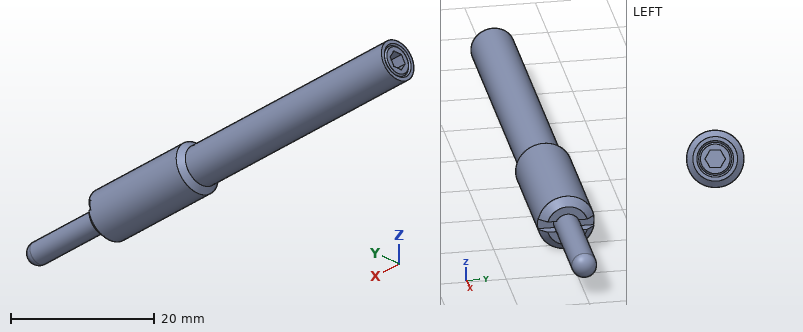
import cadquery as cq
import math

total_length = 75.0
barrel_length = 40.05
collar_length = 19.95

barrel_diameter = 6.2
collar_diameter = 8.0
pin_diameter = 3.5

front_chamfer = 1.1

socket_across_flats = 2.5
socket_depth = 6.0
groove_inner_diameter = 4.1
groove_outer_diameter = 5.1

slot_width = 1.6
slot_depth = 1.4

start_x = -total_length / 2
collar_start_x = start_x + barrel_length
collar_end_x = collar_start_x + collar_length
pin_tip_x = start_x + total_length
barrel_radius = barrel_diameter / 2
collar_radius = collar_diameter / 2
rear_chamfer = collar_radius - barrel_radius
pin_radius = pin_diameter / 2


def rod(diameter, from_x, length):
    """Solid cylinder on the X axis."""
    return cq.Workplane("YZ", origin=(from_x, 0, 0)).circle(diameter / 2).extrude(length)


def make_barrel_and_collar():
    """Turned barrel with a collar that is chamfered at both ends."""
    return (
        cq.Workplane("XY")
        .moveTo(start_x, 0)
        .lineTo(start_x, barrel_radius)
        .lineTo(collar_start_x, barrel_radius)
        .lineTo(collar_start_x + rear_chamfer, collar_radius)
        .lineTo(collar_end_x - front_chamfer, collar_radius)
        .lineTo(collar_end_x, collar_radius - front_chamfer)
        .lineTo(collar_end_x, 0)
        .close()
        .revolve(360, (0, 0, 0), (1, 0, 0))
    )


def make_slot():
    """Slot running across the collar face along Y."""
    return cq.Workplane("XY").box(2 * slot_depth, collar_diameter, slot_width).translate((collar_end_x, 0, 0))


def make_pin():
    """Contact pin with a hemispherical tip, rooted at the slot floor."""
    root_x = collar_end_x - slot_depth
    root_overlap = 0.75
    pin_start_x = root_x - root_overlap
    return rod(pin_diameter, pin_start_x, pin_tip_x - pin_radius - pin_start_x).union(
        cq.Workplane("XY").sphere(pin_radius).translate((pin_tip_x - pin_radius, 0, 0))
    )


def make_socket():
    """Hexagon socket with flats facing up and down."""
    across_corners = socket_across_flats / math.cos(math.pi / 6)
    return cq.Workplane("YZ", origin=(start_x, 0, 0)).polygon(6, across_corners).extrude(socket_depth)


def make_groove():
    """Ring groove in the rear face with 45-degree walls."""
    inner_radius = groove_inner_diameter / 2
    outer_radius = groove_outer_diameter / 2
    groove_depth = (outer_radius - inner_radius) / 2
    return (
        cq.Workplane("XY")
        .moveTo(start_x, inner_radius)
        .lineTo(start_x, outer_radius)
        .lineTo(start_x + groove_depth, inner_radius + groove_depth)
        .close()
        .revolve(360, (0, 0, 0), (1, 0, 0))
    )


result = make_barrel_and_collar().cut(make_slot()).union(make_pin())
result = result.cut(make_socket()).cut(make_groove())